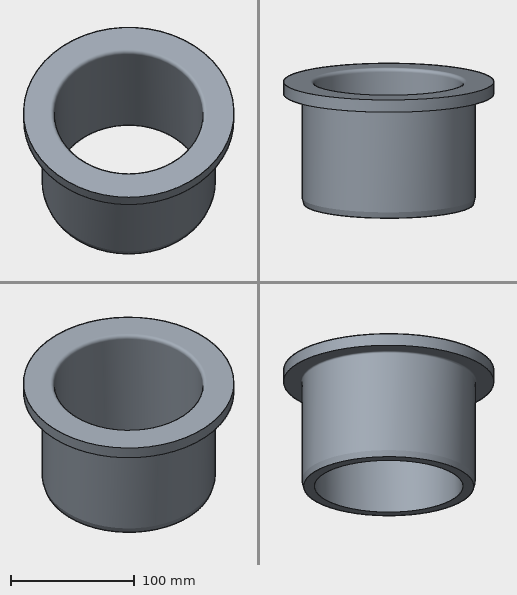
import cadquery as cq
import math

flange_diameter = 170.0
body_diameter = 140.0
bore_diameter = 120.0
total_height = 100.0
flange_thickness = 10.0
bore_mouth_radius = 3.0
neck_fillet_radius = 1.4
lead_in_height = 5.0
lead_in_angle = 15.0

flange_radius = flange_diameter / 2
body_radius = body_diameter / 2
bore_radius = bore_diameter / 2
flange_underside = total_height - flange_thickness
lead_in_depth = lead_in_height * math.tan(math.radians(lead_in_angle))

bush_section = (
    cq.Workplane("XZ")
    .moveTo(bore_radius, 0)
    .lineTo(body_radius - lead_in_depth, 0)
    .lineTo(body_radius, lead_in_height)
    .lineTo(body_radius, flange_underside - neck_fillet_radius)
    .radiusArc((body_radius + neck_fillet_radius, flange_underside), neck_fillet_radius)
    .lineTo(flange_radius, flange_underside)
    .lineTo(flange_radius, total_height)
    .lineTo(bore_radius + bore_mouth_radius, total_height)
    .radiusArc((bore_radius, total_height - bore_mouth_radius), -bore_mouth_radius)
    .close()
)

result = bush_section.revolve(360, (0, 0, 0), (0, 1, 0))